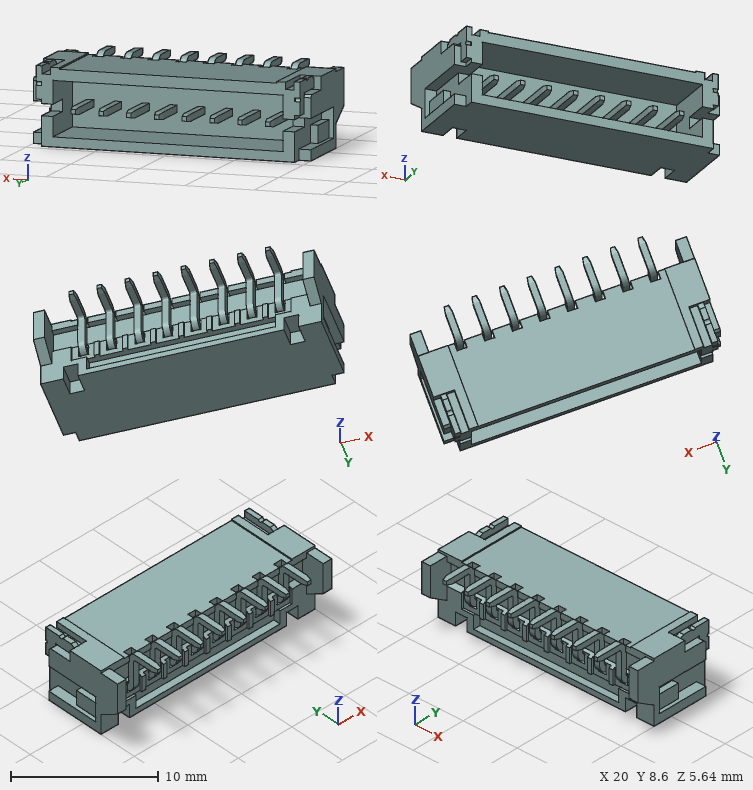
import cadquery as cq


PIN_COUNT = 8
PIN_PITCH = 2.0
PIN_SIZE = 0.5
PIN_TOP = 5.64
PIN_BOTTOM = 2.17
PIN_LEAD_END = -2.6
PIN_CONTACT_END = 5.47
PIN_TIP_LENGTH = 0.5
PIN_TIP_SIZE = 0.32
PIN_STEM_BACK = 0.18
UPPER_INNER_RADIUS = 0.2
UPPER_OUTER_RADIUS = UPPER_INNER_RADIUS + PIN_SIZE
LOWER_INNER_RADIUS = 0.28
LOWER_OUTER_RADIUS = LOWER_INNER_RADIUS + PIN_SIZE

LENGTH = 20.0
DEPTH = 6.0
CENTRE_TOP = 5.4
SHOULDER_TOP = 5.5
CENTRE_HALF = 7.83
HALF_LENGTH = LENGTH / 2
CORE_HALF = 9.13
SIDE_WALL_END = 5.17

ARM_WIDTH = 0.8
ARM_REACH = 1.64
ARM_TOP = 5.3
ARM_FRONT_BOTTOM = 2.7
ARM_ROOT_BOTTOM = 1.72

RECESS_HALF = HALF_LENGTH - ARM_WIDTH
RECESS_DEPTH = 0.43
RECESS_TOP = 4.87
SILL_FRONT = 2.89
SILL_BACK = 3.15
POCKET_DEPTH = 0.2
POCKET_BOTTOM = 1.62
RIB_WIDTH = 0.36
HOLE_WIDTH = 0.7
HOLE_BOTTOM = 2.04
HOLE_BACK = 0.5
HOLE_BACK_TOP = 2.3
LIP_SLOT_DEPTH = 0.55
WINDOW_HALF = 6.72
WINDOW_BOTTOM = 0.48
WINDOW_DEPTH = 0.62
NOTCH_INNER = 7.34
NOTCH_WIDTH = 1.04
NOTCH_HEIGHT = 1.14
NOTCH_DEPTH = 1.5

CAVITY_FLOOR = 2.0
CAVITY_HALF = 8.3
CAVITY_BOTTOM = 0.7
CAVITY_TOP = 4.6

SIDE_RECESS_START = 0.54
SIDE_RECESS_BOTTOM = 0.78
SIDE_RECESS_TOP = 2.95
STEP_END = 2.77
STEP_TOP = 2.04
STEP_INSET = 0.33
OPENING_START = 3.98
OPENING_BOTTOM = 2.11

TAB_OUTER = 9.5
TAB_THICKNESS = 0.42
TAB_TOP = 5.56
TAB_ARM_BOTTOM = 4.68
TAB_START = 3.07
TAB_LEG_START = 5.05
TAB_LEG_BOTTOM = 3.24
TAB_TIP_RUN = 0.42
TAB_TIP_DROP = 0.23
TAB_GROOVE_RADIUS = 0.18
TAB_GROOVE_Y = 4.5
TAB_GROOVE_DEPTH = 0.12
TAB_DIMPLE_RADIUS = 0.13
TAB_DIMPLE_Z = 4.33
TAB_SLOT_INNER = 8.48
TAB_SLOT_FLOOR = 5.0
LEDGE_TOP = 4.56
LEDGE_CHAMFER = 0.19

PIN_POSITIONS = [(i - (PIN_COUNT - 1) / 2) * PIN_PITCH for i in range(PIN_COUNT)]


def block(x0, x1, y0, y1, z0, z1):
    """Box between two opposite corners."""
    return cq.Workplane("XY").box(x1 - x0, y1 - y0, z1 - z0, centered=False).translate((x0, y0, z0))


def profile(points, x0, x1):
    """Closed (Y, Z) outline extruded along X from x0 to x1."""
    return cq.Workplane("YZ").polyline(points).close().extrude(x1 - x0).translate((x0, 0, 0))


def both_ends(shape):
    """The shape together with its mirror image at the other end of the row."""
    return shape.union(shape.mirror("YZ"))


def housing_blank():
    """Core, lower centre top, thick side walls and the arms beside the pins."""
    core = block(-CORE_HALF, CORE_HALF, 0, DEPTH, 0, CENTRE_TOP)
    shoulder = block(CENTRE_HALF, CORE_HALF, 0, DEPTH, CENTRE_TOP, SHOULDER_TOP)
    wall = block(CORE_HALF, HALF_LENGTH, 0, SIDE_WALL_END, 0, SHOULDER_TOP)
    arm_outline = [
        (0, ARM_TOP),
        (-ARM_REACH, ARM_TOP),
        (-ARM_REACH, ARM_FRONT_BOTTOM),
        (0, ARM_ROOT_BOTTOM),
    ]
    arm = profile(arm_outline, HALF_LENGTH - ARM_WIDTH, HALF_LENGTH)
    return core.union(both_ends(shoulder.union(wall).union(arm)))


def pin_side_recess():
    """Long recess under the top lip, with a sloping sill."""
    outline = [
        (0, RECESS_TOP),
        (RECESS_DEPTH, RECESS_TOP),
        (RECESS_DEPTH, SILL_BACK),
        (0, SILL_FRONT),
    ]
    return profile(outline, -RECESS_HALF, RECESS_HALF)


def pin_pockets():
    """Shallow pocket across the row, leaving ribs between the pins."""
    pocket = block(-CENTRE_HALF, CENTRE_HALF, 0, POCKET_DEPTH, POCKET_BOTTOM, RECESS_TOP)
    for x in PIN_POSITIONS[:-1]:
        rib_x = x + PIN_PITCH / 2
        rib = block(rib_x - RIB_WIDTH / 2, rib_x + RIB_WIDTH / 2, 0, POCKET_DEPTH, POCKET_BOTTOM, RECESS_TOP)
        pocket = pocket.cut(rib)
    return pocket


def pin_clearance(x):
    """Slot in the top lip and a hole below the sill that narrows toward one pin."""
    x0 = x - HOLE_WIDTH / 2
    x1 = x + HOLE_WIDTH / 2
    lip_slot = block(x0, x1, 0, LIP_SLOT_DEPTH, RECESS_TOP, CENTRE_TOP)
    hole_outline = [
        (0, HOLE_BOTTOM),
        (POCKET_DEPTH, HOLE_BOTTOM),
        (HOLE_BACK, PIN_BOTTOM),
        (HOLE_BACK, HOLE_BACK_TOP),
        (POCKET_DEPTH, SILL_FRONT),
        (POCKET_DEPTH, SILL_BACK),
        (0, SILL_BACK),
    ]
    return lip_slot.union(profile(hole_outline, x0, x1))


def cut_pin_side(body):
    """Everything cut into the face at Y = 0."""
    body = body.cut(pin_side_recess()).cut(pin_pockets())
    for x in PIN_POSITIONS:
        body = body.cut(pin_clearance(x))
    window = block(-WINDOW_HALF, WINDOW_HALF, 0, WINDOW_DEPTH, WINDOW_BOTTOM, POCKET_BOTTOM)
    notch = block(NOTCH_INNER, NOTCH_INNER + NOTCH_WIDTH, 0, NOTCH_DEPTH, 0, NOTCH_HEIGHT)
    return body.cut(window).cut(both_ends(notch))


def cut_cavity(body):
    """Mating cavity open toward +Y."""
    return body.cut(block(-CAVITY_HALF, CAVITY_HALF, CAVITY_FLOOR, DEPTH, CAVITY_BOTTOM, CAVITY_TOP))


def cut_ends(body):
    """Side recess with a step, cavity opening, and the room for the solder tab."""
    recess = block(
        CORE_HALF, HALF_LENGTH, SIDE_RECESS_START, SIDE_WALL_END, SIDE_RECESS_BOTTOM, SIDE_RECESS_TOP
    )
    step_face = HALF_LENGTH - STEP_INSET
    step = block(CORE_HALF, step_face, SIDE_RECESS_START, STEP_END, SIDE_RECESS_BOTTOM, STEP_TOP)
    opening = block(CAVITY_HALF, CORE_HALF, OPENING_START, DEPTH, OPENING_BOTTOM, SIDE_RECESS_TOP)
    ledge_outline = [
        (TAB_START, SHOULDER_TOP),
        (TAB_START, LEDGE_TOP),
        (SIDE_WALL_END - LEDGE_CHAMFER, LEDGE_TOP),
        (SIDE_WALL_END, LEDGE_TOP - LEDGE_CHAMFER),
        (SIDE_WALL_END, SHOULDER_TOP),
    ]
    above_ledge = profile(ledge_outline, CORE_HALF, HALF_LENGTH)
    tab_slot = block(TAB_SLOT_INNER, CORE_HALF, TAB_START, DEPTH, TAB_SLOT_FLOOR, SHOULDER_TOP)
    end_cuts = recess.cut(step).union(opening).union(above_ledge).union(tab_slot)
    return body.cut(both_ends(end_cuts))


def solder_tab():
    """L-shaped plate with a sloped tip, a top groove and a dimple in its back edge."""
    inner = TAB_OUTER - TAB_THICKNESS
    outline = [
        (DEPTH, TAB_TOP),
        (TAB_START + TAB_TIP_RUN, TAB_TOP),
        (TAB_START, TAB_TOP - TAB_TIP_DROP),
        (TAB_START, TAB_ARM_BOTTOM),
        (TAB_LEG_START, TAB_ARM_BOTTOM),
        (TAB_LEG_START, TAB_LEG_BOTTOM),
        (DEPTH, TAB_LEG_BOTTOM),
    ]
    groove_z = TAB_TOP - TAB_GROOVE_DEPTH + TAB_GROOVE_RADIUS
    groove = cq.Workplane("YZ").center(TAB_GROOVE_Y, groove_z).circle(TAB_GROOVE_RADIUS).extrude(HALF_LENGTH)
    dimple = cq.Workplane("YZ").center(DEPTH, TAB_DIMPLE_Z).circle(TAB_DIMPLE_RADIUS).extrude(HALF_LENGTH)
    return profile(outline, inner, TAB_OUTER).cut(groove).cut(dimple)


def pin_tip(y_base, y_end, z_centre):
    """Square taper from the full pin section down to the blunt end."""
    base = cq.Workplane(cq.Plane((0, y_base, z_centre), (1, 0, 0), (0, 1, 0)))
    reach = y_end - y_base
    return base.rect(PIN_SIZE, PIN_SIZE).workplane(offset=reach).rect(PIN_TIP_SIZE, PIN_TIP_SIZE).loft()


def pin():
    """C-shaped square pin: lead on top toward -Y, stem, contact toward +Y."""
    lead_base = PIN_LEAD_END + PIN_TIP_LENGTH
    contact_base = PIN_CONTACT_END - PIN_TIP_LENGTH
    stem_front = PIN_STEM_BACK - PIN_SIZE
    lead_bottom = PIN_TOP - PIN_SIZE
    contact_top = PIN_BOTTOM + PIN_SIZE
    upper_bend = (PIN_STEM_BACK - UPPER_OUTER_RADIUS, PIN_TOP - UPPER_OUTER_RADIUS)
    lower_bend = (stem_front + LOWER_OUTER_RADIUS, PIN_BOTTOM + LOWER_OUTER_RADIUS)
    shank = (
        cq.Workplane("YZ")
        .moveTo(lead_base, PIN_TOP)
        .lineTo(upper_bend[0], PIN_TOP)
        .radiusArc((PIN_STEM_BACK, upper_bend[1]), UPPER_OUTER_RADIUS)
        .lineTo(PIN_STEM_BACK, lower_bend[1])
        .radiusArc((lower_bend[0], contact_top), -LOWER_INNER_RADIUS)
        .lineTo(contact_base, contact_top)
        .lineTo(contact_base, PIN_BOTTOM)
        .lineTo(lower_bend[0], PIN_BOTTOM)
        .radiusArc((stem_front, lower_bend[1]), LOWER_OUTER_RADIUS)
        .lineTo(stem_front, upper_bend[1])
        .radiusArc((upper_bend[0], lead_bottom), -UPPER_INNER_RADIUS)
        .lineTo(lead_base, lead_bottom)
        .close()
        .extrude(PIN_SIZE / 2, both=True)
    )
    lead_tip = pin_tip(lead_base, PIN_LEAD_END, PIN_TOP - PIN_SIZE / 2)
    contact_tip = pin_tip(contact_base, PIN_CONTACT_END, PIN_BOTTOM + PIN_SIZE / 2)
    return shank.union(lead_tip).union(contact_tip)


body = cut_ends(cut_cavity(cut_pin_side(housing_blank())))
body = body.union(both_ends(solder_tab()))
single_pin = pin()
for pin_x in PIN_POSITIONS:
    body = body.union(single_pin.translate((pin_x, 0, 0)))

result = body